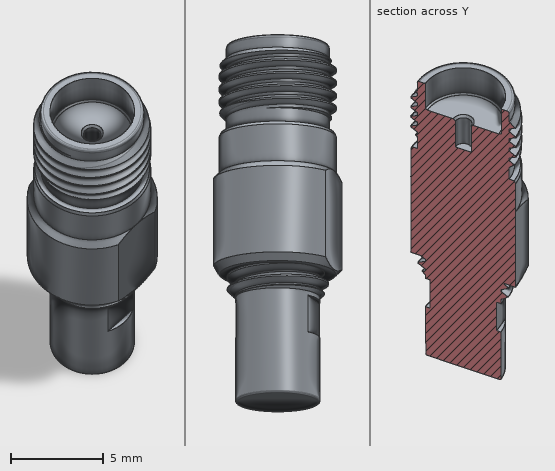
import cadquery as cq
import math

length = 19.81

pitch = 25.4 / 36
flank_angle = math.radians(30)
crest_flat = pitch / 8
root_overlap = 0.05
crest_clearance = 0.2

neck_radius = 5.58 / 2
neck_lip_fillet = 0.15
neck_thread_crest_radius = 6.35 / 2
neck_thread_top = length - 0.73
neck_thread_bottom = length - 4.10
neck_thread_crest_height = length - 1.73

body_radius = 6.35 / 2
body_top = length - 4.92
body_chamfer_width = 0.08
body_chamfer_height = 0.17
collar_radius = 7.044 / 2
collar_top = length - 7.14
collar_bottom = length - 12.69
collar_top_chamfer = collar_radius - body_radius
collar_bottom_chamfer = 0.39
collar_across_flats = 6.35

sleeve_radius = 4.57 / 2
sleeve_end_fillet = 0.1
sleeve_thread_crest_radius = 5.48 / 2
sleeve_thread_bottom = length - 14.0
sleeve_thread_crest_height = length - 12.91
sleeve_flat_top = length - 14.24
sleeve_flat_bottom = length - 16.27
sleeve_across_flats = 4.06

bore_radius = 4.57 / 2
bore_depth = 1.88
bore_floor_radius = 4.32 / 2
bore_floor_bevel_height = 0.06
contact_hole_radius = 0.94 / 2
contact_mouth_radius = 1.19 / 2
contact_mouth_chamfer = contact_mouth_radius - contact_hole_radius
contact_hole_depth = 2.0


def revolved(outline, plane="XZ"):
    """Solid of revolution about Z from an outline of (radius, height) points.

    The surface seam lies in the given plane.
    """
    return cq.Workplane(plane).polyline(outline).close().revolve(360, (0, 0), (0, 1))


def turned_core():
    """Sleeve, body and neck in one turned piece, without the collar."""
    core = revolved([
        (0, 0),
        (sleeve_radius, 0),
        (sleeve_radius, collar_top),
        (body_radius, collar_top),
        (body_radius, body_top - body_chamfer_height),
        (body_radius - body_chamfer_width, body_top),
        (neck_radius, body_top),
        (neck_radius, length),
        (0, length),
    ])
    core = core.faces(">Z").edges().fillet(neck_lip_fillet)
    return core.faces("<Z").edges().fillet(sleeve_end_fillet)


def collar():
    """Bevelled collar with its two wrench flats; the seam is turned away from the flats."""
    ring = revolved(
        [
            (0, collar_bottom),
            (collar_radius - collar_bottom_chamfer, collar_bottom),
            (collar_radius, collar_bottom + collar_bottom_chamfer),
            (collar_radius, collar_top - collar_top_chamfer),
            (body_radius, collar_top),
            (0, collar_top),
        ],
        plane="YZ",
    )
    return ring.cut(flats_cutter(collar_across_flats, collar_bottom, collar_top))


def thread_ridge(core_radius, crest_radius, bottom, top, crest_height):
    """Helical ridge around a core, covering at least the heights from bottom to top."""
    inner_radius = core_radius - root_overlap
    half_crest = crest_flat / 2
    half_base = half_crest + (crest_radius - inner_radius) * math.tan(flank_angle)
    turns_below = math.ceil((crest_height - bottom) / pitch) + 1
    start = crest_height - turns_below * pitch
    turns = math.ceil((top - start) / pitch) + 1
    path = cq.Wire.makeHelix(pitch, turns * pitch, core_radius)
    ridge = (
        cq.Workplane("XZ")
        .polyline([
            (inner_radius, -half_base),
            (crest_radius, -half_crest),
            (crest_radius, half_crest),
            (inner_radius, half_base),
        ])
        .close()
        .sweep(cq.Workplane(obj=path), isFrenet=True)
    )
    return ridge.translate((0, 0, start))


def neck_thread():
    """Upper thread, run out at both ends by 45 degree bevels."""
    ridge = thread_ridge(
        neck_radius,
        neck_thread_crest_radius,
        neck_thread_bottom,
        neck_thread_top,
        neck_thread_crest_height,
    )
    reach = neck_thread_crest_radius - neck_radius + crest_clearance
    envelope = revolved([
        (0, neck_thread_bottom),
        (neck_radius, neck_thread_bottom),
        (neck_radius + reach, neck_thread_bottom + reach),
        (neck_radius + reach, neck_thread_top - reach),
        (neck_radius, neck_thread_top),
        (0, neck_thread_top),
    ])
    return ridge.intersect(envelope)


def sleeve_thread():
    """Lower thread, run out at its bottom end by a 45 degree bevel and ending inside the collar."""
    end = collar_bottom + pitch
    ridge = thread_ridge(
        sleeve_radius,
        sleeve_thread_crest_radius,
        sleeve_thread_bottom,
        end,
        sleeve_thread_crest_height,
    )
    reach = sleeve_thread_crest_radius - sleeve_radius + crest_clearance
    envelope = revolved([
        (0, sleeve_thread_bottom),
        (sleeve_radius, sleeve_thread_bottom),
        (sleeve_radius + reach, sleeve_thread_bottom + reach),
        (sleeve_radius + reach, end),
        (0, end),
    ])
    return ridge.intersect(envelope)


def flats_cutter(across_flats, bottom, top):
    """Everything beyond a pair of flats facing -X and +X, between two heights."""
    stock = 4 * collar_radius
    height = top - bottom
    outside = cq.Workplane("XY").box(stock, stock, height, centered=(True, True, False))
    between = cq.Workplane("XY").box(across_flats, stock, height, centered=(True, True, False))
    return outside.cut(between).translate((0, 0, bottom))


def bore():
    """Bore with a bevelled floor edge and the chamfered contact hole below it."""
    floor = length - bore_depth
    return revolved([
        (0, floor - contact_hole_depth),
        (contact_hole_radius, floor - contact_hole_depth),
        (contact_hole_radius, floor - contact_mouth_chamfer),
        (contact_mouth_radius, floor),
        (bore_floor_radius, floor),
        (bore_radius, floor + bore_floor_bevel_height),
        (bore_radius, length),
        (0, length),
    ])


result = (
    turned_core()
    .union(neck_thread())
    .union(sleeve_thread())
    .union(collar())
    .cut(flats_cutter(sleeve_across_flats, sleeve_flat_bottom, sleeve_flat_top))
    .cut(bore())
)